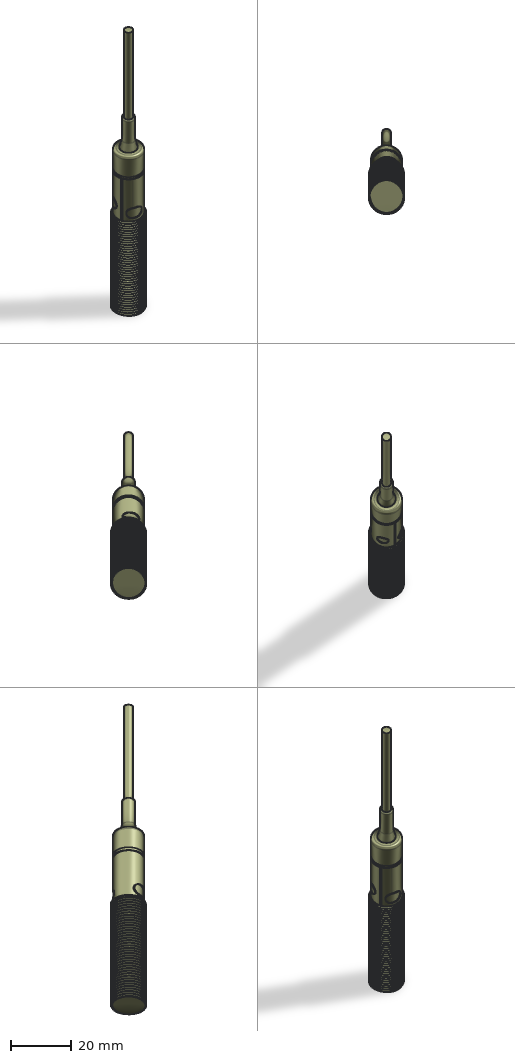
import cadquery as cq
import math

TOTAL_HEIGHT = 117.5
THREAD_HEIGHT = 40.1
HOUSING_TOP = 57.9
COLLAR_HEIGHT = 1.0
CAP_BOTTOM = HOUSING_TOP + COLLAR_HEIGHT
CAP_SHOULDER = 67.6
CONE_TOP = 71.0
GLAND_TOP = 80.5

BODY_RADIUS = 10.5 / 2
CORE_RADIUS = 9.9 / 2
CABLE_RADIUS = 1.5
GLAND_RADIUS = 2.2
CONE_BASE_RADIUS = 3.0
CAP_FILLET = 1.0
GLAND_FILLET = 0.4

THREAD_RADIUS = 11.9 / 2
PITCH = 1.0
THREAD_DEPTH = 0.6
CREST_WIDTH = 0.1
GROOVE_START = 0.15
THREAD_CHAMFER = 0.4
SPARE_TURNS = 2

BUTTON_RADIUS = 2.0
BUTTON_HEIGHT = 45.0

WINDOW_RADIUS = 2.1
WINDOW_STRETCH = 1.4
WINDOW_HEIGHT = 43.4

CORE_BOTTOM = 38.8

KEYWAY_ANGLE = -42.0
KEYWAY_WIDTH = 0.52
KEYWAY_DEPTH = 0.2


def cylinder(radius, bottom, top):
    """Upright cylinder on the Z axis between two heights."""
    return cq.Workplane("XY").workplane(offset=bottom).circle(radius).extrude(top - bottom)


def helix_turn(radius, start):
    """One turn of a right-handed helix that begins on the XZ plane."""
    return cq.Wire.makeHelix(PITCH, PITCH, radius, cq.Vector(0, 0, start)).Edges()[0]


def thread_profile(groove_height):
    """Root, crest, crest and root corners of one pitch, as (radius, height) pairs."""
    root_radius = THREAD_RADIUS - THREAD_DEPTH
    half_mouth = (PITCH - CREST_WIDTH) / 2
    return [
        (root_radius, groove_height),
        (THREAD_RADIUS, groove_height + half_mouth),
        (THREAD_RADIUS, groove_height + PITCH - half_mouth),
        (root_radius, groove_height + PITCH),
    ]


def thread_end_faces(groove_height):
    """Helicoid and radial step that close the thread at one end."""
    profile = thread_profile(groove_height)
    root_radius, low = profile[0]
    high = low + PITCH
    axis = cq.Edge.makeLine(cq.Vector(0, 0, low), cq.Vector(0, 0, high))
    helicoid = cq.Face.makeRuledSurface(axis, helix_turn(root_radius, low))
    outline = [(0, low), *profile, (0, high)]
    step = cq.Wire.makePolygon([cq.Vector(r, 0, z) for r, z in outline], close=True)
    return [helicoid, cq.Face.makeFromWires(step)]


def make_thread():
    """Threaded rod, built turn by turn past both ends and trimmed to length with chamfered ends."""
    turns = math.ceil(THREAD_HEIGHT / PITCH) + 2 * SPARE_TURNS
    start = GROOVE_START - SPARE_TURNS * PITCH
    faces = thread_end_faces(start) + thread_end_faces(start + turns * PITCH)
    for turn in range(turns):
        profile = thread_profile(start + turn * PITCH)
        for lower, upper in zip(profile, profile[1:]):
            faces.append(cq.Face.makeRuledSurface(helix_turn(*lower), helix_turn(*upper)))
    rod = cq.Solid.makeSolid(cq.Shell.makeShell(faces))
    envelope = cylinder(THREAD_RADIUS + THREAD_CHAMFER, 0, THREAD_HEIGHT).edges().chamfer(2 * THREAD_CHAMFER)
    return envelope.intersect(cq.Workplane(rod))


def make_window_cutter():
    """Round-ended bar along X that opens both side windows."""
    return (
        cq.Workplane("YZ")
        .center(WINDOW_STRETCH / 2, WINDOW_HEIGHT)
        .slot2D(2 * WINDOW_RADIUS + WINDOW_STRETCH, 2 * WINDOW_RADIUS)
        .extrude(THREAD_RADIUS, both=True)
    )


def make_button_bar():
    """Round bar from the axis out past the -Y side."""
    return (
        cq.Workplane("XZ")
        .center(0, BUTTON_HEIGHT)
        .circle(BUTTON_RADIUS)
        .extrude(THREAD_RADIUS)
    )


def make_keyway_cutter():
    """Upright bar that cuts the shallow groove from the thread to the housing top."""
    return (
        cq.Workplane("XY")
        .workplane(offset=THREAD_HEIGHT)
        .center(BODY_RADIUS, 0)
        .rect(2 * KEYWAY_DEPTH, KEYWAY_WIDTH)
        .extrude(HOUSING_TOP - THREAD_HEIGHT)
        .rotate((0, 0, 0), (0, 0, 1), KEYWAY_ANGLE)
    )


def make_housing():
    """Threaded barrel with a bored, windowed upper part."""
    thread = make_thread()
    barrel = cylinder(BODY_RADIUS, CORE_BOTTOM, HOUSING_TOP)
    bore = cylinder(CORE_RADIUS, CORE_BOTTOM, HOUSING_TOP)
    return (
        thread.union(barrel)
        .cut(bore)
        .cut(make_window_cutter())
        .cut(make_button_bar())
        .cut(make_keyway_cutter())
    )


def make_core():
    """Core that fills the bore and ends in a collar flush with the housing and cap."""
    core = cylinder(CORE_RADIUS, CORE_BOTTOM, HOUSING_TOP)
    collar = cylinder(BODY_RADIUS, HOUSING_TOP, CAP_BOTTOM)
    return core.union(collar)


def make_button():
    """Disc set in the housing wall, its face flush with the barrel."""
    wall = cylinder(BODY_RADIUS, THREAD_HEIGHT, HOUSING_TOP).cut(
        cylinder(CORE_RADIUS, THREAD_HEIGHT, HOUSING_TOP)
    )
    return wall.intersect(make_button_bar())


def make_cap():
    """Cap with a rounded shoulder, tapered neck and cable gland, bored for the cable."""
    shoulder = cylinder(BODY_RADIUS, CAP_BOTTOM, CAP_SHOULDER).faces(">Z").edges().fillet(CAP_FILLET)
    neck = (
        cq.Workplane("XZ")
        .moveTo(0, CAP_BOTTOM)
        .lineTo(CONE_BASE_RADIUS, CAP_BOTTOM)
        .lineTo(CONE_BASE_RADIUS, CAP_SHOULDER)
        .lineTo(GLAND_RADIUS, CONE_TOP)
        .lineTo(GLAND_RADIUS, GLAND_TOP)
        .lineTo(0, GLAND_TOP)
        .close()
        .revolve(360, (0, 0), (0, 1))
        .faces(">Z")
        .edges()
        .fillet(GLAND_FILLET)
    )
    return shoulder.union(neck).cut(cylinder(CABLE_RADIUS, CAP_BOTTOM, GLAND_TOP))


def make_cable():
    """Straight cable standing on the collar and leaving through the gland."""
    return cylinder(CABLE_RADIUS, CAP_BOTTOM, TOTAL_HEIGHT)


housing = make_housing()
core = make_core()
button = make_button()
cap = make_cap()
cable = make_cable()

bodies = [housing, core, button, cap, cable]
result = cq.Compound.makeCompound([body.solids().val() for body in bodies])